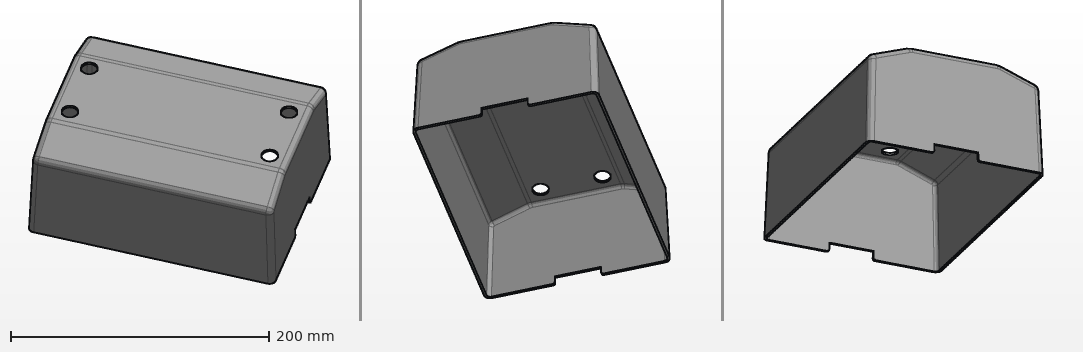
import cadquery as cq
import math

LENGTH = 200.0
WIDTH = 150.0
HEIGHT = 88.5
WALL = 2.0
DRAFT_ANGLE = 2.0

FLAT_WIDTH = 76.0
SLOPE_ANGLE = 20.0

RIDGE_RADIUS = 11.0
EAVE_RADIUS = 6.0
EDGE_RADIUS = 5.0

HOLE_DIAMETER = 13.0
HOLE_SPACING_X = 162.0
HOLE_SPACING_Y = 50.0

NOTCH_WIDTH = 37.5
NOTCH_HEIGHT = 7.5
NOTCH_MOUTH_RADIUS = 2.0


def tapered_block():
    """Box with all four walls leaning inwards by the draft angle."""
    return cq.Workplane("XY").rect(LENGTH, WIDTH).extrude(HEIGHT, taper=DRAFT_ANGLE)


def roof_prism():
    """Prism along X whose upper side is the flat top and its two slopes."""
    half_flat = FLAT_WIDTH / 2
    half_width = WIDTH / 2
    eave_z = HEIGHT - (half_width - half_flat) * math.tan(math.radians(SLOPE_ANGLE))
    return (
        cq.Workplane("YZ")
        .moveTo(-half_width, 0)
        .lineTo(half_width, 0)
        .lineTo(half_width, eave_z)
        .lineTo(half_flat, HEIGHT)
        .lineTo(-half_flat, HEIGHT)
        .lineTo(-half_width, eave_z)
        .close()
        .extrude(LENGTH / 2, both=True)
    )


def rounded_body():
    """Solid outer form with every edge rounded except the lower rim."""
    body = tapered_block().intersect(roof_prism())
    body = body.faces(">Z").edges("|X").fillet(RIDGE_RADIUS)
    eaves = body.faces("<Y or >Y").edges("|X").edges(">Z")
    body = eaves.fillet(EAVE_RADIUS)
    return body.faces("<X or >X").edges("not <Z").fillet(EDGE_RADIUS)


def hole_cutters():
    """Cylinders that pierce the flat top."""
    return (
        cq.Workplane("XY")
        .workplane(offset=HEIGHT / 2)
        .rect(HOLE_SPACING_X, HOLE_SPACING_Y, forConstruction=True)
        .vertices()
        .circle(HOLE_DIAMETER / 2)
        .extrude(HEIGHT)
    )


def notch_cutter():
    """Bar along X, through both end walls, with rounded corners at the rim."""
    half_width = NOTCH_WIDTH / 2
    half_mouth = half_width + NOTCH_MOUTH_RADIUS
    return (
        cq.Workplane("YZ")
        .moveTo(-half_mouth, 0)
        .lineTo(half_mouth, 0)
        .radiusArc((half_width, NOTCH_MOUTH_RADIUS), NOTCH_MOUTH_RADIUS)
        .lineTo(half_width, NOTCH_HEIGHT)
        .lineTo(-half_width, NOTCH_HEIGHT)
        .lineTo(-half_width, NOTCH_MOUTH_RADIUS)
        .radiusArc((-half_mouth, 0), NOTCH_MOUTH_RADIUS)
        .close()
        .extrude(LENGTH / 2, both=True)
    )


cover = rounded_body().faces("<Z").shell(-WALL)
result = cover.cut(hole_cutters()).cut(notch_cutter())